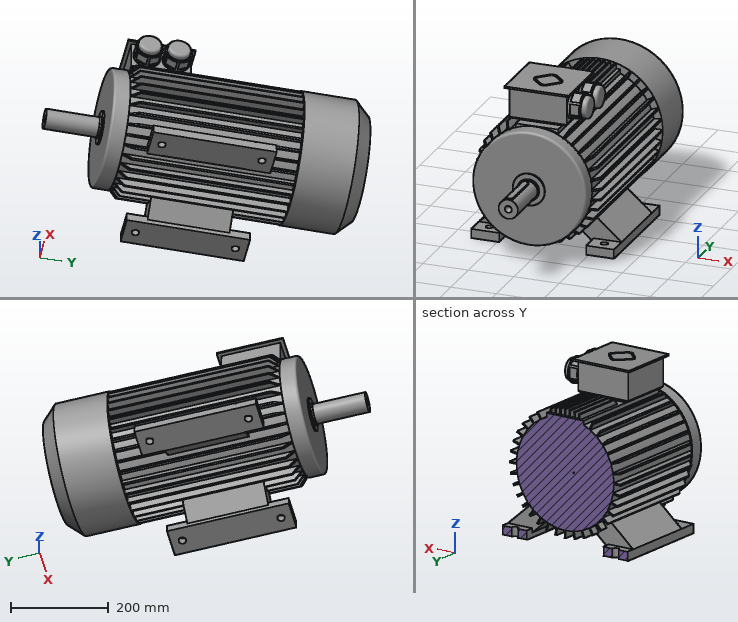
import cadquery as cq
import math


total_length = 660.0
total_width = 314.0
total_height = 361.0
axis_height = 160.0

shaft_length = 118.0
shaft_diameter = 42.0
shoulder_diameter = 47.0
shoulder_length = 7.0
boss_diameter = 70.0
boss_length = 3.0
centre_hole_diameter = 15.0
centre_hole_depth = 8.0
key_width = 14.5
key_length = 99.5
key_end_gap = 2.5
key_top = 23.0

shield_diameter = 250.0
shield_length = 35.0
shield_edge_radius = 5.0

core_diameter = 245.0
fin_diameter = 277.0
fin_thickness = 4.0
fin_front_y = 38.0
fin_root_depth = 6.5
fin_pitch_angle = 10
first_fin_angle = 30
fin_height = (fin_diameter - core_diameter) / 2

pad_width = 94.0
pad_top = core_diameter / 2
pad_front_y = 43.5
top_fin_front_y = 178.0
top_fin_pitch = 12.0
top_fins_each_side = 3
top_fin_chamfer = 11.0

cowl_diameter = 280.0
cowl_front_y = 397.0
cowl_chamfer_length = 30.5
cowl_chamfer_depth = 29.0
cowl_back_y = total_length - shaft_length

box_centre_y = 113.0
box_width = 125.5
box_bottom = 129.0
box_bottom_chamfer = 4.0
lid_width = 141.0
lid_thickness = 4.0
lid_top = total_height - axis_height
badge_centre_y = 108.0
badge_width = 51.0
badge_corner = 12.0
badge_groove_width = 3.0
badge_groove_depth = 1.0

gland_spacing = 61.5
gland_axis_z = 165.0
gland_diameter = 57.0
gland_flats = 51.5
gland_neck_length = 5.0
gland_nut_length = 20.5
gland_rim_length = 2.5
gland_cap_diameter = 49.0
gland_cap_length = 12.5
gland_cap_fillet = 5.0

foot_width = 61.5
foot_thickness = 20.5
foot_length = 259.0
foot_centre_y = 205.0
leg_length = 172.0
leg_angle = 41.2
leg_outer_run = 72.5
leg_inner_run = 49.5
leg_inner_drop = 9.0
foot_hole_diameter = 15.0
foot_hole_spacing = 210.0


def cylinder_along_y(diameter, start_y, length):
    plane = cq.Workplane("XZ", origin=(0, start_y, 0))
    return plane.circle(diameter / 2).extrude(-length)


def centred_box(width, length, bottom, height, centre_y):
    plane = cq.Workplane("XY", origin=(0, centre_y, bottom))
    return plane.rect(width, length).extrude(height)


def make_shaft():
    shaft = cylinder_along_y(shaft_diameter, -shaft_length, shaft_length)
    shoulder = cylinder_along_y(shoulder_diameter, -shoulder_length, shoulder_length)
    boss = cylinder_along_y(boss_diameter, -boss_length, boss_length)
    key_centre_y = -shaft_length + key_end_gap + key_length / 2
    key = (
        cq.Workplane("XY", origin=(0, key_centre_y, 0))
        .slot2D(key_length, key_width, 90)
        .extrude(key_top)
    )
    centre_hole = (
        cq.Workplane("XY")
        .moveTo(0, -shaft_length)
        .lineTo(centre_hole_diameter / 2, -shaft_length)
        .lineTo(0, -shaft_length + centre_hole_depth)
        .close()
        .revolve(360, (0, 0, 0), (0, 1, 0))
    )
    return shaft.union(shoulder).union(boss).union(key).cut(centre_hole)


def make_shield():
    shield = cylinder_along_y(shield_diameter, 0, shield_length)
    return shield.faces("<Y").edges().fillet(shield_edge_radius)


def make_radial_fins():
    root_radius = core_diameter / 2 - fin_root_depth
    tip_radius = fin_diameter / 2
    fin = (
        cq.Workplane("YZ")
        .moveTo(fin_front_y, root_radius)
        .lineTo(fin_front_y, core_diameter / 2)
        .lineTo(fin_front_y + fin_height, tip_radius)
        .lineTo(cowl_front_y, tip_radius)
        .lineTo(cowl_front_y, root_radius)
        .close()
        .extrude(fin_thickness / 2, both=True)
    )
    fins = cq.Workplane("XY")
    for angle in range(first_fin_angle, 360 - first_fin_angle + 1, fin_pitch_angle):
        fins = fins.add(fin.rotate((0, 0, 0), (0, 1, 0), angle))
    return fins


def make_top_fins():
    fins = cq.Workplane("XY")
    for index in range(-top_fins_each_side, top_fins_each_side + 1):
        x = index * top_fin_pitch
        top = math.sqrt((fin_diameter / 2) ** 2 - x**2)
        fin = (
            cq.Workplane("YZ", origin=(x, 0, 0))
            .moveTo(top_fin_front_y, pad_top - fin_root_depth)
            .lineTo(top_fin_front_y, top - top_fin_chamfer)
            .lineTo(top_fin_front_y + top_fin_chamfer, top)
            .lineTo(cowl_front_y, top)
            .lineTo(cowl_front_y, pad_top - fin_root_depth)
            .close()
            .extrude(fin_thickness / 2, both=True)
        )
        fins = fins.add(fin)
    return fins


def make_frame():
    frame = cylinder_along_y(core_diameter, shield_length, cowl_front_y - shield_length)
    pad_length = cowl_front_y - pad_front_y
    pad = centred_box(pad_width, pad_length, 0, pad_top, pad_front_y + pad_length / 2)
    frame = frame.union(pad)
    for fin in make_radial_fins().vals() + make_top_fins().vals():
        frame = frame.union(cq.Workplane(fin))
    return frame


def make_cowl():
    radius = cowl_diameter / 2
    return (
        cq.Workplane("XY")
        .moveTo(0, cowl_front_y)
        .lineTo(radius, cowl_front_y)
        .lineTo(radius, cowl_back_y - cowl_chamfer_length)
        .lineTo(radius - cowl_chamfer_depth, cowl_back_y)
        .lineTo(0, cowl_back_y)
        .close()
        .revolve(360, (0, 0, 0), (0, 1, 0))
    )


def badge_block(width, corner):
    return (
        cq.Workplane("XY", origin=(0, badge_centre_y, lid_top))
        .transformed(rotate=(0, 0, 45))
        .rect(width, width)
        .extrude(-badge_groove_depth)
        .edges("|Z")
        .fillet(corner)
    )


def make_terminal_box():
    lid_bottom = lid_top - lid_thickness
    body = centred_box(box_width, box_width, box_bottom, lid_bottom - box_bottom, box_centre_y)
    body = body.faces("<Z").chamfer(box_bottom_chamfer)
    neck = centred_box(pad_width, pad_width, pad_top, box_bottom - pad_top, box_centre_y)
    lid = centred_box(lid_width, lid_width, lid_bottom, lid_thickness, box_centre_y)
    groove = badge_block(badge_width, badge_corner)
    inner_width = badge_width - 2 * badge_groove_width
    groove = groove.cut(badge_block(inner_width, badge_corner - badge_groove_width))
    return body.union(neck).union(lid).cut(groove)


def make_gland(centre_y):
    nut_corner_diameter = gland_flats / math.cos(math.pi / 6)
    start = cq.Workplane("YZ", origin=(box_width / 2, centre_y, gland_axis_z))
    neck = start.circle(gland_diameter / 2).extrude(gland_neck_length)
    nut_start = start.workplane(offset=gland_neck_length)
    nut_outline = nut_start.transformed(rotate=(0, 0, 90)).polygon(6, nut_corner_diameter)
    nut = nut_outline.extrude(gland_nut_length)
    nut = nut.intersect(nut_start.circle(gland_diameter / 2).extrude(gland_nut_length))
    rim_start = nut_start.workplane(offset=gland_nut_length)
    rim = rim_start.circle(gland_diameter / 2).extrude(gland_rim_length)
    cap_start = rim_start.workplane(offset=gland_rim_length)
    cap = cap_start.circle(gland_cap_diameter / 2).extrude(gland_cap_length)
    cap = cap.faces(">X").edges().fillet(gland_cap_fillet)
    return neck.union(nut).union(rim).union(cap)


def make_right_foot():
    outer_x = total_width / 2
    inner_x = outer_x - foot_width
    foot_top = foot_thickness - axis_height
    slope = math.tan(math.radians(leg_angle))
    foot = (
        cq.Workplane("XY", origin=(outer_x - foot_width / 2, foot_centre_y, -axis_height))
        .rect(foot_width, foot_length)
        .extrude(foot_thickness)
        .faces(">Z")
        .workplane()
        .pushPoints([(0, -foot_hole_spacing / 2), (0, foot_hole_spacing / 2)])
        .hole(foot_hole_diameter)
    )
    leg_inner_z = foot_top - leg_inner_drop
    leg = (
        cq.Workplane("XZ", origin=(0, foot_centre_y, 0))
        .moveTo(outer_x, foot_top)
        .lineTo(outer_x - leg_outer_run, foot_top + leg_outer_run * slope)
        .lineTo(inner_x - leg_inner_run, leg_inner_z + leg_inner_run * slope)
        .lineTo(inner_x, leg_inner_z)
        .lineTo(inner_x, foot_top)
        .close()
        .extrude(leg_length / 2, both=True)
    )
    return foot.union(leg)


result = make_frame().union(make_shield()).union(make_cowl()).union(make_shaft())
result = result.union(make_terminal_box())
for side in (-1, 1):
    result = result.union(make_gland(box_centre_y + side * gland_spacing / 2))

right_foot = make_right_foot()
result = result.union(right_foot).union(right_foot.mirror("YZ"))